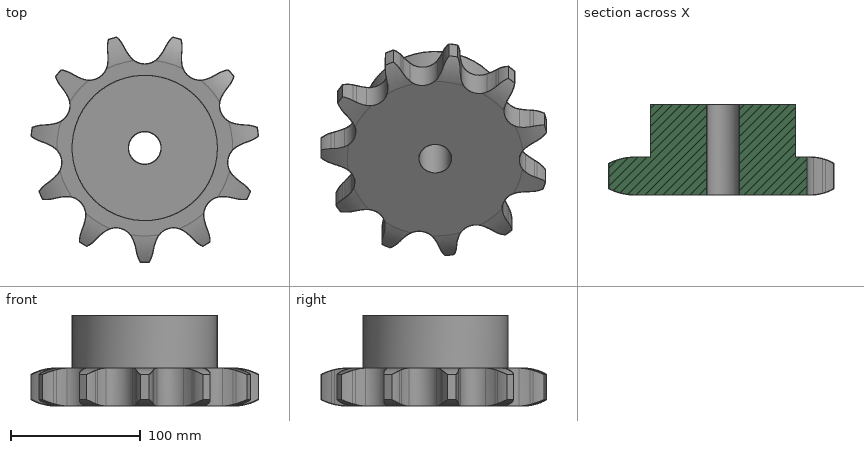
import cadquery as cq
import math


TOOTH_COUNT = 11
PITCH = 44.45
ROLLER_DIAMETER = 27.94
TIP_DIAMETER = 176.3
TOOTH_WIDTH = 29.4
HUB_DIAMETER = 112.0
BORE_DIAMETER = 25.0
TOTAL_HEIGHT = 70.0

RIM_ROUND_RADIUS = 44.0
RIM_ROUND_DROP = 5.0

SEATING_FACTOR = 1.005
SEATING_CLEARANCE = 0.0762
WORKING_OFFSET_FACTOR = 0.8
TOPPING_OFFSET_FACTOR = 1.4
SEATING_ANGLE = math.radians(35 + 60 / TOOTH_COUNT)
WORKING_ANGLE = math.radians(18 - 56 / TOOTH_COUNT)

HALF_STEP = math.pi / TOOTH_COUNT
PITCH_RADIUS = PITCH / (2 * math.sin(HALF_STEP))
TIP_RADIUS = TIP_DIAMETER / 2
SEATING_RADIUS = (SEATING_FACTOR * ROLLER_DIAMETER + SEATING_CLEARANCE) / 2
WORKING_OFFSET = WORKING_OFFSET_FACTOR * ROLLER_DIAMETER
WORKING_RADIUS = WORKING_OFFSET + SEATING_RADIUS
TOPPING_OFFSET = TOPPING_OFFSET_FACTOR * ROLLER_DIAMETER


def polar(center, radius, angle):
    """Point at a radius and angle (radians) from a center."""
    return (center[0] + radius * math.cos(angle), center[1] + radius * math.sin(angle))


def rotate(point, angle):
    """Point turned about the sprocket axis."""
    return polar((0, 0), math.hypot(*point), math.atan2(point[1], point[0]) + angle)


def mirror(point):
    """Point reflected across the gap centerline (the Y axis)."""
    return (-point[0], point[1])


def half_gap_points():
    """Points of the +X flank of the gap centered on +Y, from its root to the tooth tip."""
    roller_center = (0, PITCH_RADIUS)
    seating_end = polar(roller_center, SEATING_RADIUS, -SEATING_ANGLE)

    working_center = polar(roller_center, WORKING_OFFSET, math.pi - SEATING_ANGLE)
    flank_angle = WORKING_ANGLE - SEATING_ANGLE
    working_mid = polar(working_center, WORKING_RADIUS, (flank_angle - SEATING_ANGLE) / 2)
    working_end = polar(working_center, WORKING_RADIUS, flank_angle)

    topping_center = polar(roller_center, TOPPING_OFFSET, -HALF_STEP)
    to_topping_x = topping_center[0] - working_end[0]
    to_topping_y = topping_center[1] - working_end[1]
    topping_radius = to_topping_x * math.cos(flank_angle) + to_topping_y * math.sin(flank_angle)
    topping_start_angle = math.pi + flank_angle
    straight_end = polar(topping_center, topping_radius, topping_start_angle)

    center_distance = math.hypot(*topping_center)
    center_angle = math.atan2(topping_center[1], topping_center[0])
    tip_offset_cosine = (TIP_RADIUS**2 - center_distance**2 - topping_radius**2) / (
        2 * center_distance * topping_radius
    )
    topping_end_angle = center_angle + math.acos(tip_offset_cosine)
    topping_mid = polar(topping_center, topping_radius, (topping_start_angle + topping_end_angle) / 2)
    tip_corner = polar(topping_center, topping_radius, topping_end_angle)

    return [seating_end, working_mid, working_end, straight_end, topping_mid, tip_corner]


def tooth_outline():
    """Closed sprocket outline, drawn clockwise one gap and one tooth tip at a time."""
    flank = half_gap_points()
    gap_root = (0, PITCH_RADIUS - SEATING_RADIUS)
    first_corner = mirror(flank[-1])
    tip_middle = (0, TIP_RADIUS)

    outline = cq.Workplane("XY").moveTo(*first_corner)
    for gap in range(TOOTH_COUNT):
        turn = -2 * HALF_STEP * gap
        right = [rotate(point, turn) for point in flank]
        left = [rotate(mirror(point), turn) for point in flank]
        right_seating, right_working_mid, right_working, right_straight, right_topping_mid, right_tip = right
        left_seating, left_working_mid, left_working, left_straight, left_topping_mid, _ = left
        next_corner = rotate(first_corner, turn - 2 * HALF_STEP)

        outline = outline.threePointArc(left_topping_mid, left_straight)
        outline = outline.lineTo(*left_working)
        outline = outline.threePointArc(left_working_mid, left_seating)
        outline = outline.threePointArc(rotate(gap_root, turn), right_seating)
        outline = outline.threePointArc(right_working_mid, right_working)
        outline = outline.lineTo(*right_straight)
        outline = outline.threePointArc(right_topping_mid, right_tip)
        outline = outline.threePointArc(rotate(tip_middle, turn - HALF_STEP), next_corner)
    return outline.close()


def rounded_blank():
    """Disc whose rim curves in from both flat faces toward the tip circle."""
    round_angle = math.acos(1 - RIM_ROUND_DROP / RIM_ROUND_RADIUS)
    flat_radius = TIP_RADIUS - RIM_ROUND_RADIUS * math.sin(round_angle)
    lower_center = (flat_radius, RIM_ROUND_RADIUS)
    upper_center = (flat_radius, TOOTH_WIDTH - RIM_ROUND_RADIUS)
    down = -math.pi / 2
    up = math.pi / 2
    return (
        cq.Workplane("XZ")
        .lineTo(flat_radius, 0)
        .threePointArc(
            polar(lower_center, RIM_ROUND_RADIUS, down + round_angle / 2),
            (TIP_RADIUS, RIM_ROUND_DROP),
        )
        .lineTo(TIP_RADIUS, TOOTH_WIDTH - RIM_ROUND_DROP)
        .threePointArc(
            polar(upper_center, RIM_ROUND_RADIUS, up - round_angle / 2),
            (flat_radius, TOOTH_WIDTH),
        )
        .lineTo(0, TOOTH_WIDTH)
        .close()
        .revolve(360, (0, 0, 0), (0, 1, 0))
    )


toothed_disc = tooth_outline().extrude(TOOTH_WIDTH).intersect(rounded_blank())
hub = cq.Workplane("XY").circle(HUB_DIAMETER / 2).extrude(TOTAL_HEIGHT)
bore = cq.Workplane("XY").circle(BORE_DIAMETER / 2).extrude(TOTAL_HEIGHT)

result = toothed_disc.union(hub).cut(bore)